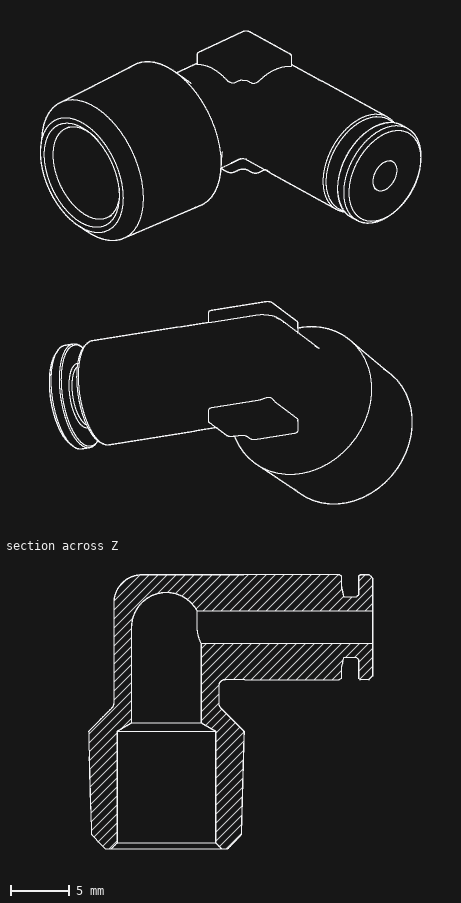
import cadquery as cq
import math


leg_radius = 4.5
outer_bend_radius = 2.45
inner_bend_radius = 0.49

pad_near = 2.27
pad_far = 3.75
pad_height = 5.05
pad_corner_radius = 0.49
pad_rim_radius = 0.12

thread_end = 19.02
thread_end_chamfer = 1.25
thread_tip_radius = 5.25
thread_small_radius = 6.44
thread_large_radius = 6.68
shoulder_end = 8.92
shoulder_start = shoulder_end - (thread_large_radius - leg_radius)
shoulder_fillet = 0.49

sleeve_radius = 4.53
sleeve_start = 6.73
sleeve_step = 0.15
sleeve_end = 15.02
sleeve_chamfer_length = 0.22
sleeve_chamfer_depth = 0.15
sleeve_face_radius = 3.5
sleeve_nose = 0.2

collar_end = 17.7
collar_radius = 4.5
collar_thickness = 1.22
collar_back_chamfer = 0.12
collar_front_chamfer = 0.32
collar_neck_radius = 2.6
collar_neck_flare = 0.2

mouth_radius = 4.75
socket_radius = 4.22
socket_floor = shoulder_end
socket_floor_angle = 120.0
passage_radius = 2.97
tube_bore_radius = 1.4


def revolve_about_x(profile):
    return profile.close().revolve(360, (0, 0, 0), (1, 0, 0))


def revolve_about_y(profile):
    return profile.close().revolve(360, (0, 0, 0), (0, 1, 0))


def mitred_elbow():
    """Two equal cylinders that meet on the 45 degree plane through the origin."""
    r = leg_radius
    tube_leg = cq.Workplane("YZ", origin=(-r, 0, 0)).circle(r).extrude(r + sleeve_start)
    thread_leg = cq.Workplane("XZ", origin=(0, r, 0)).circle(r).extrude(r + shoulder_start)
    tube_side = cq.Workplane("XY").polyline(
        [(-r, r), (sleeve_start, r), (sleeve_start, -sleeve_start)]
    ).close().extrude(r, both=True)
    thread_side = cq.Workplane("XY").polyline(
        [(-r, r), (-r, -shoulder_start), (shoulder_start, -shoulder_start)]
    ).close().extrude(r, both=True)
    return tube_leg.intersect(tube_side).union(thread_leg.intersect(thread_side))


def grip_pads():
    """L-shaped pads whose notch faces the inside of the bend."""
    outline = [
        (-pad_near, pad_near),
        (pad_far, pad_near),
        (pad_far, -pad_near),
        (pad_near, -pad_near),
        (pad_near, -pad_far),
        (-pad_near, -pad_far),
    ]
    pads = cq.Workplane("XY").polyline(outline).close().extrude(pad_height, both=True)
    pads = pads.edges("|Z").fillet(pad_corner_radius)
    return pads.faces("<Z or >Z").edges().fillet(pad_rim_radius)


def rounded_elbow():
    """Elbow with its pads, rounded along the mitre edges that the pads leave exposed."""
    elbow = mitred_elbow().union(grip_pads())
    elbow = elbow.edges("%ELLIPSE").edges("<X").fillet(outer_bend_radius)
    return elbow.edges("%ELLIPSE").edges(">X").fillet(inner_bend_radius)


def thread_body():
    """Slightly tapered barrel with a shoulder towards the elbow and a chamfered tip."""
    profile = cq.Workplane("XY").polyline([
        (0, -shoulder_start),
        (leg_radius, -shoulder_start),
        (thread_large_radius, -shoulder_end),
        (thread_small_radius, -(thread_end - thread_end_chamfer)),
        (thread_tip_radius, -thread_end),
        (0, -thread_end),
    ])
    return revolve_about_y(profile)


def sleeve():
    """Tube sleeve, stepped up from the leg and closed by a shallow conical nose."""
    profile = cq.Workplane("XY").polyline([
        (sleeve_start - sleeve_step, 0),
        (sleeve_start - sleeve_step, leg_radius),
        (sleeve_start, sleeve_radius),
        (sleeve_end - sleeve_chamfer_length, sleeve_radius),
        (sleeve_end, sleeve_radius - sleeve_chamfer_depth),
        (sleeve_end, sleeve_face_radius),
        (sleeve_end + sleeve_nose, collar_neck_radius),
        (sleeve_end + sleeve_nose, 0),
    ])
    return revolve_about_x(profile)


def release_collar():
    """Flanged collar whose neck flares into the back of the flange."""
    flange_start = collar_end - collar_thickness
    profile = (
        cq.Workplane("XY")
        .moveTo(sleeve_end, 0)
        .lineTo(sleeve_end, collar_neck_radius)
        .lineTo(flange_start - collar_neck_flare, collar_neck_radius)
        .lineTo(flange_start, collar_neck_radius + collar_neck_flare)
        .lineTo(flange_start, collar_radius - collar_back_chamfer)
        .lineTo(flange_start + collar_back_chamfer, collar_radius)
        .lineTo(collar_end - collar_front_chamfer, collar_radius)
        .lineTo(collar_end, collar_radius - collar_front_chamfer)
        .lineTo(collar_end, 0)
    )
    return revolve_about_x(profile)


def flow_passage():
    """Stepped bore up the threaded leg, ball-ended at the bend, and a bore out through the collar."""
    mouth_depth = mouth_radius - socket_radius
    floor_depth = (socket_radius - passage_radius) / math.tan(math.radians(socket_floor_angle / 2))
    profile = cq.Workplane("XY").polyline([
        (0, -thread_end),
        (mouth_radius, -thread_end),
        (socket_radius, -(thread_end - mouth_depth)),
        (socket_radius, -socket_floor),
        (passage_radius, -(socket_floor - floor_depth)),
        (passage_radius, 0),
        (0, 0),
    ])
    ball_end = cq.Workplane("XY").sphere(passage_radius)
    tube_bore = cq.Workplane("YZ").circle(tube_bore_radius).extrude(collar_end)
    return revolve_about_y(profile).union(ball_end).union(tube_bore)


outside = rounded_elbow().union(thread_body())
shoulder_edge = cq.selectors.NearestToPointSelector((0, -shoulder_start, 0))
outside = outside.edges(shoulder_edge).fillet(shoulder_fillet)
outside = outside.union(sleeve()).union(release_collar())

result = outside.cut(flow_passage())